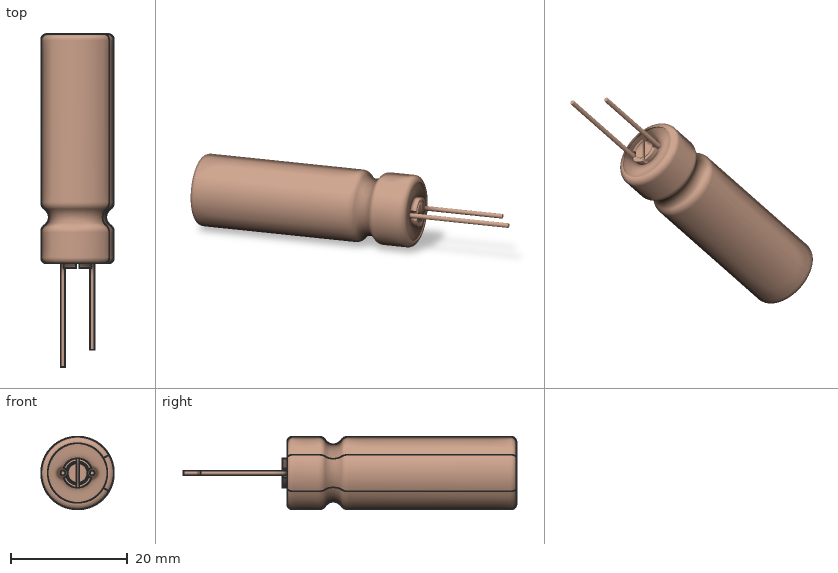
import cadquery as cq
import math

TOTAL_LENGTH = 57.0
CAN_DIAMETER = 12.5
CAN_LENGTH = 39.3
CAN_RADIUS = CAN_DIAMETER / 2
REAR_Y = TOTAL_LENGTH / 2
FRONT_Y = REAR_Y - CAN_LENGTH

RIM_FILLET = 1.0
BEAD_FROM_FRONT = 7.9
BEAD_DEPTH = 1.3
BEAD_ARC_RADIUS = 1.7
BEAD_LIP_RADIUS = 1.35

STRIPE_ANGLE = 60.0
STRIPE_INNER_RADIUS = 4.55

RIM_LAND = 0.1
SEAL_RADIUS = CAN_RADIUS - RIM_FILLET - RIM_LAND
SEAL_RECESS = 0.2
SEAL_THICKNESS = 1.0
SEAL_FACE_Y = FRONT_Y + SEAL_RECESS
SEAL_BACK_Y = SEAL_FACE_Y + SEAL_THICKNESS

STANDOFF_RADIUS = 2.5
STANDOFF_PROTRUSION = 0.8
STANDOFF_TIP_Y = FRONT_Y - STANDOFF_PROTRUSION
GROOVE_DEPTH = 0.15
RING_INNER_RADIUS = 2.0
CORE_RADIUS = 1.7
SLOT_WIDTH = 0.5
LEAD_CLEARANCE_RADIUS = 0.85

LEAD_DIAMETER = 0.8
LEAD_PITCH = 5.0
LONG_LEAD_TIP_Y = -TOTAL_LENGTH / 2
LEAD_LENGTH_DIFFERENCE = 2.95
SHORT_LEAD_TIP_Y = LONG_LEAD_TIP_Y + LEAD_LENGTH_DIFFERENCE
LEADS = [
    (-LEAD_PITCH / 2, LONG_LEAD_TIP_Y),
    (LEAD_PITCH / 2, SHORT_LEAD_TIP_Y),
]


def cylinder(radius, start_y, end_y, x=0.0):
    """Solid cylinder parallel to Y."""
    base = cq.Workplane("XZ", origin=(x, start_y, 0))
    return base.circle(radius).extrude(start_y - end_y)


def can_envelope(start_angle, sweep):
    """Sector of the beaded can, swept about Y from start_angle, measured from +X towards -Z."""
    bead_y = FRONT_Y + BEAD_FROM_FRONT
    floor_radius = CAN_RADIUS - BEAD_DEPTH

    arc_center_r = floor_radius + BEAD_ARC_RADIUS
    lip_center_r = CAN_RADIUS - BEAD_LIP_RADIUS
    center_distance = BEAD_ARC_RADIUS + BEAD_LIP_RADIUS
    lip_angle = math.asin((arc_center_r - lip_center_r) / center_distance)
    lip_offset = center_distance * math.cos(lip_angle)
    tangent_r = arc_center_r - BEAD_ARC_RADIUS * math.sin(lip_angle)
    tangent_offset = BEAD_ARC_RADIUS * math.cos(lip_angle)

    mid_angle = (lip_angle + math.pi / 2) / 2
    lip_mid_r = lip_center_r + BEAD_LIP_RADIUS * math.sin(mid_angle)
    lip_mid_offset = lip_offset - BEAD_LIP_RADIUS * math.cos(mid_angle)

    rim_r = CAN_RADIUS - RIM_FILLET
    rim_inset = RIM_FILLET * (1 - math.sqrt(0.5))
    profile = (
        cq.Workplane("XY")
        .moveTo(0, FRONT_Y)
        .lineTo(rim_r, FRONT_Y)
        .threePointArc((CAN_RADIUS - rim_inset, FRONT_Y + rim_inset), (CAN_RADIUS, FRONT_Y + RIM_FILLET))
        .lineTo(CAN_RADIUS, bead_y - lip_offset)
        .threePointArc((lip_mid_r, bead_y - lip_mid_offset), (tangent_r, bead_y - tangent_offset))
        .threePointArc((floor_radius, bead_y), (tangent_r, bead_y + tangent_offset))
        .threePointArc((lip_mid_r, bead_y + lip_mid_offset), (CAN_RADIUS, bead_y + lip_offset))
        .lineTo(CAN_RADIUS, REAR_Y - RIM_FILLET)
        .threePointArc((CAN_RADIUS - rim_inset, REAR_Y - rim_inset), (rim_r, REAR_Y))
        .lineTo(0, REAR_Y)
        .close()
    )
    sector = profile.revolve(sweep, (0, 0, 0), (0, 1, 0))
    return sector.rotate((0, 0, 0), (0, 1, 0), start_angle)


def seal_recess():
    """Round pocket in the front of the can that holds the seal."""
    return cylinder(SEAL_RADIUS, FRONT_Y, SEAL_BACK_Y)


def make_stripe():
    """Thick-walled sector of the can that carries the polarity marking."""
    sector = can_envelope(-STRIPE_ANGLE / 2, STRIPE_ANGLE)
    return sector.cut(cylinder(STRIPE_INNER_RADIUS, FRONT_Y, REAR_Y)).cut(seal_recess())


def make_can():
    """Remainder of the can, with room for the stripe and the seal."""
    return can_envelope(0, 360).cut(make_stripe()).cut(seal_recess())


def make_standoff():
    """Raised pad with a ring groove, a cross slot and clearance round each lead."""
    pad = cylinder(STANDOFF_RADIUS, SEAL_FACE_Y, STANDOFF_TIP_Y)

    groove_floor_y = STANDOFF_TIP_Y + GROOVE_DEPTH
    groove = cylinder(RING_INNER_RADIUS, groove_floor_y, STANDOFF_TIP_Y)
    groove = groove.cut(cylinder(CORE_RADIUS, groove_floor_y, STANDOFF_TIP_Y))

    slot = cq.Workplane("XY").box(SLOT_WIDTH, STANDOFF_PROTRUSION, 2 * STANDOFF_RADIUS)
    slot = slot.translate((0, FRONT_Y - STANDOFF_PROTRUSION / 2, 0))

    pad = pad.cut(groove).cut(slot)
    for lead_x, _ in LEADS:
        pad = pad.cut(cylinder(LEAD_CLEARANCE_RADIUS, SEAL_FACE_Y, STANDOFF_TIP_Y, lead_x))
    return pad


def make_seal():
    """Rubber disc with its stand-off."""
    return cylinder(SEAL_RADIUS, SEAL_FACE_Y, SEAL_BACK_Y).union(make_standoff())


def make_lead(lead_x, tip_y):
    """Round wire ending on the face of the seal."""
    return cylinder(LEAD_DIAMETER / 2, SEAL_FACE_Y, tip_y, lead_x)


can = make_can()
stripe = make_stripe()
seal = make_seal()
leads = [make_lead(lead_x, tip_y) for lead_x, tip_y in LEADS]

result = cq.Compound.makeCompound([
    can.solids().val(),
    stripe.solids().val(),
    seal.solids().val(),
    *[lead.val() for lead in leads],
])